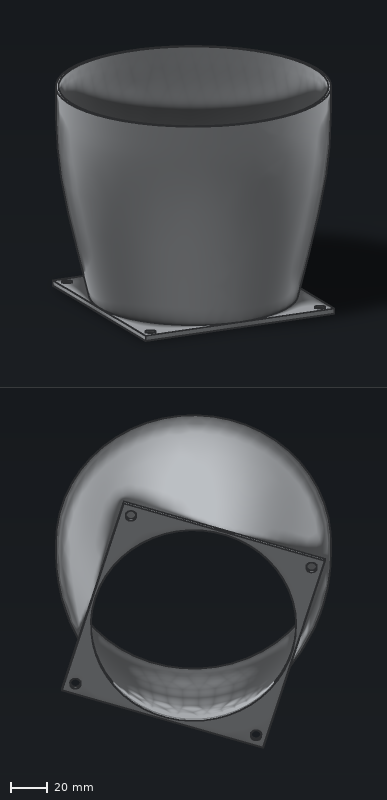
import cadquery as cq

rim_diameter = 153.0
total_height = 124.0

neck_diameter = 116.5
bore_diameter = 114.0
rim_wall = 1.5

plate_width = 117.0
plate_thickness = 3.0
hole_diameter = 6.0
hole_inset = 6.0

waist_radius = 70.1
waist_height = 53.0
shoulder_radius = 74.5
shoulder_height = 78.0
collar_radius = 76.4
collar_height = 103.0

rim_radius = rim_diameter / 2
neck_radius = neck_diameter / 2
bore_radius = bore_diameter / 2
neck_direction = (waist_radius - neck_radius, waist_height - plate_thickness)
rim_direction = (0, 1)


def cup_solid(neck, rim, wall_inset):
    """Solid of revolution under the wall curve, moved inwards by wall_inset between its ends."""
    curve_points = [
        (waist_radius - wall_inset, waist_height),
        (shoulder_radius - wall_inset, shoulder_height),
        (collar_radius - wall_inset, collar_height),
        (rim, total_height),
    ]
    profile = (
        cq.Workplane("XZ")
        .moveTo(0, plate_thickness)
        .lineTo(neck, plate_thickness)
        .spline(curve_points, tangents=[neck_direction, rim_direction], includeCurrent=True)
        .lineTo(0, total_height)
        .close()
    )
    return profile.revolve(360, (0, 0, 0), (0, 1, 0))


def mounting_plate():
    """Square plate with a central bore and a screw hole in each corner."""
    hole_spacing = plate_width - 2 * hole_inset
    plate = cq.Workplane("XY").rect(plate_width, plate_width).extrude(plate_thickness)
    plate = plate.faces(">Z").workplane().hole(bore_diameter)
    return (
        plate.faces(">Z")
        .workplane(origin=(0, 0, plate_thickness))
        .rect(hole_spacing, hole_spacing, forConstruction=True)
        .vertices()
        .hole(hole_diameter)
    )


outer_body = cup_solid(neck_radius, rim_radius, 0)
cavity = cup_solid(bore_radius, rim_radius - rim_wall, rim_wall)
result = mounting_plate().union(outer_body.cut(cavity))